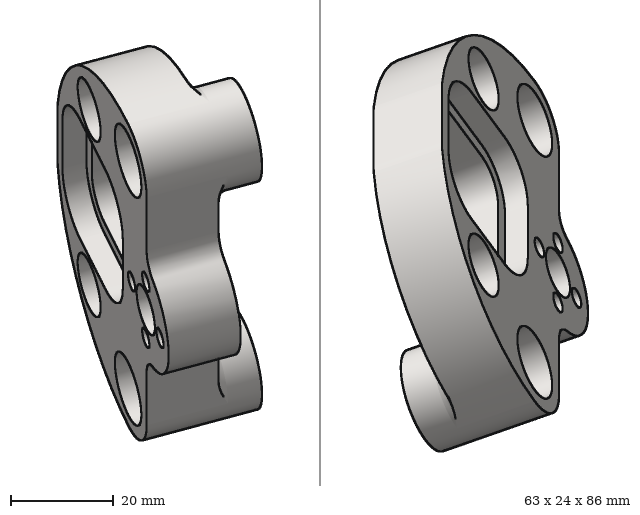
import cadquery as cq
import math

plate_thickness = 15.0
overall_depth = 24.0
overall_height = 86.0
flat_side_x = -50.0

hub_radius = 13.0
hub_bore_diameter = 10.3
bolt_hole_diameter = 4.0
bolt_circle_radius = 8.0
neck_fillet = 5.0

peg_radius = 10.5
peg_x = -10.0
peg_z = overall_height / 2 - peg_radius
peg_hole_diameter = 15.0
peg_root_fillet = 2.0
straight_side_x = peg_x + peg_radius

side_hole_diameter = 13.0
side_hole_x = -32.0
side_hole_z = 25.0

flat_half_height = 8.0
flat_blend_radius = 10.0

window_x = -30.0
window_size = 28.0
window_corner = 7.0
ledge_width = 3.0
ledge_depth = 5.0

diagonal = math.sqrt(0.5)

pick_margin = 0.1


def front_plane():
    """Front-face sketch plane: local X is -X, local Y is Z, extrusion goes toward +Y."""
    return cq.Workplane(cq.Plane(origin=(0, 0, 0), xDir=(-1, 0, 0), normal=(0, 1, 0)))


def cylinder(x, z, diameter, length):
    return front_plane().center(-x, z).circle(diameter / 2).extrude(length)


def flank_arc():
    """Radius and centre height of the arc tangent to the peg crown that meets the flat."""
    run = peg_x - flat_side_x
    drop = overall_height / 2 - flat_half_height
    radius = (run**2 + drop**2) / (2 * drop)
    return radius, overall_height / 2 - radius


def plate_body():
    radius, centre_z = flank_arc()
    mid_x = peg_x - radius * diagonal
    mid_z = centre_z + radius * diagonal
    peg_mid_x = peg_x + peg_radius * diagonal
    peg_mid_z = peg_z + peg_radius * diagonal
    top_z = overall_height / 2
    body = (
        front_plane()
        .moveTo(-flat_side_x, -flat_half_height)
        .lineTo(-flat_side_x, flat_half_height)
        .threePointArc((-mid_x, mid_z), (-peg_x, top_z))
        .threePointArc((-peg_mid_x, peg_mid_z), (-straight_side_x, peg_z))
        .lineTo(-straight_side_x, -peg_z)
        .threePointArc((-peg_mid_x, -peg_mid_z), (-peg_x, -top_z))
        .threePointArc((-mid_x, -mid_z), (-flat_side_x, -flat_half_height))
        .close()
        .extrude(plate_thickness)
    )
    flat_ends = cq.selectors.BoxSelector(
        (flat_side_x - pick_margin, -pick_margin, -flat_half_height - pick_margin),
        (flat_side_x + pick_margin, plate_thickness + pick_margin, flat_half_height + pick_margin),
    )
    body = body.edges("|Y").edges(flat_ends).fillet(flat_blend_radius)
    body = body.union(cylinder(0, 0, 2 * hub_radius, plate_thickness))
    neck = cq.selectors.BoxSelector(
        (straight_side_x - pick_margin, -pick_margin, -hub_radius - pick_margin),
        (straight_side_x + pick_margin, plate_thickness + pick_margin, hub_radius + pick_margin),
    )
    return body.edges("|Y").edges(neck).fillet(neck_fillet)


def peg_root(z, outline):
    """Concave flare around a peg, trimmed to the plate outline."""
    flare_radius = peg_radius + peg_root_fillet
    arc_offset = peg_root_fillet * (1 - diagonal)
    root_top = plate_thickness + peg_root_fillet
    flare = (
        cq.Workplane("XY")
        .moveTo(0, plate_thickness)
        .lineTo(flare_radius, plate_thickness)
        .threePointArc((peg_radius + arc_offset, plate_thickness + arc_offset), (peg_radius, root_top))
        .lineTo(0, root_top)
        .close()
        .revolve(360, (0, 0, 0), (0, 1, 0))
        .translate((peg_x, 0, z))
    )
    return flare.intersect(outline)


def rounded_square(size, corner, depth):
    block = front_plane().center(-window_x, 0).rect(size, size).extrude(depth)
    return block.edges("|Y").fillet(corner)


plate = plate_body()
raised_outline = plate.translate((0, peg_root_fillet, 0))
result = plate
for z in (-peg_z, peg_z):
    result = result.union(cylinder(peg_x, z, 2 * peg_radius, overall_depth))
    result = result.union(peg_root(z, raised_outline))

result = result.cut(rounded_square(window_size, window_corner, plate_thickness))
recess_size = window_size + 2 * ledge_width
result = result.cut(rounded_square(recess_size, window_corner + ledge_width, ledge_depth))

for side in (-1, 1):
    result = result.cut(cylinder(peg_x, side * peg_z, peg_hole_diameter, overall_depth))
    result = result.cut(cylinder(side_hole_x, side * side_hole_z, side_hole_diameter, plate_thickness))
    result = result.cut(cylinder(side * bolt_circle_radius, 0, bolt_hole_diameter, plate_thickness))
    result = result.cut(cylinder(0, side * bolt_circle_radius, bolt_hole_diameter, plate_thickness))
result = result.cut(cylinder(0, 0, hub_bore_diameter, plate_thickness))